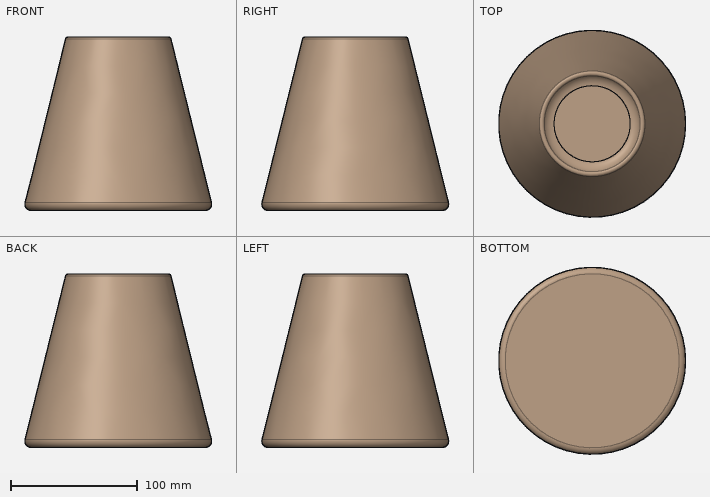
import cadquery as cq
import math

base_diameter = 147.5
height = 137.0

base_round = 5.2
rim_round = 2.0
rim_crest_radius = 39.7

pocket_diameter = 60.0
pocket_depth = 6.5
dish_depth = 6.5
dish_start_angle = 25.0

base_centre = (base_diameter / 2 - base_round, base_round)
rim_centre = (rim_crest_radius, height - rim_round)

run = base_centre[0] - rim_centre[0]
rise = rim_centre[1] - base_centre[1]
wall_tilt = math.atan2(run, rise) + math.asin((base_round - rim_round) / math.hypot(run, rise))


def on_round(centre, radius, angle):
    """Point on an edge round, at an angle in radians from the outward direction."""
    return (centre[0] + radius * math.cos(angle), centre[1] + radius * math.sin(angle))


pocket_radius = pocket_diameter / 2
pocket_edge_height = height - dish_depth
floor_height = pocket_edge_height - pocket_depth
dish_start = on_round(rim_centre, rim_round, math.pi - math.radians(dish_start_angle))

profile = (
    cq.Workplane("XZ")
    .lineTo(base_centre[0], 0)
    .threePointArc((base_diameter / 2, base_round), on_round(base_centre, base_round, wall_tilt))
    .lineTo(*on_round(rim_centre, rim_round, wall_tilt))
    .threePointArc((rim_crest_radius, height), dish_start)
    .tangentArcPoint((pocket_radius, pocket_edge_height), relative=False)
    .lineTo(pocket_radius, floor_height)
    .lineTo(0, floor_height)
    .close()
)

result = profile.revolve(360, (0, 0, 0), (0, 1, 0))